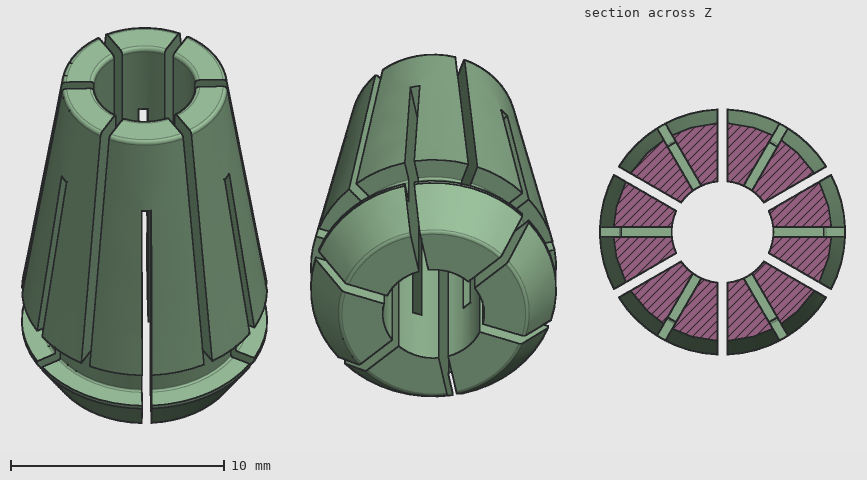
import cadquery as cq
import math

total_height = 18.0
outer_radius = 5.75
bore_radius = 4.76 / 2

taper_base_z = 4.5
taper_angle = 8.0

neck_radius = 4.75
flange_top_z = 2.5
flange_rim_height = 0.2
nose_angle = 30.0

top_outer_round = 0.2
top_bore_round = 0.2
neck_round = 0.1
nose_round = 0.2

slit_width = 0.45
slits_per_set = 6
top_slit_floor_z = 4.0
bottom_slit_end_z = 14.0

taper_length = total_height - taper_base_z
top_radius = outer_radius - taper_length * math.tan(math.radians(taper_angle))
rim_base_z = flange_top_z - flange_rim_height
nose_radius = outer_radius - rim_base_z * math.tan(math.radians(nose_angle))
slit_pitch = 360.0 / slits_per_set
first_top_slit_angle = 0.0
first_bottom_slit_angle = slit_pitch / 2


def round_circle(body, radius, z, rounding):
    """Round the circular edge of the given radius that lies at height z."""
    match_tolerance = 0.001
    for edge in body.edges("%CIRCLE").vals():
        same_radius = abs(edge.radius() - radius) < match_tolerance
        same_height = abs(edge.Center().z - z) < match_tolerance
        if same_radius and same_height:
            return body.newObject([edge]).fillet(rounding)
    raise ValueError("no circular edge of this radius at this height")


def revolved_body():
    """Collet body without slits: the half section turned about Z."""
    half_section = [
        (bore_radius, 0),
        (nose_radius, 0),
        (outer_radius, rim_base_z),
        (outer_radius, flange_top_z),
        (neck_radius, flange_top_z),
        (neck_radius, taper_base_z),
        (outer_radius, taper_base_z),
        (top_radius, total_height),
        (bore_radius, total_height),
    ]
    profile = cq.Workplane("XZ").polyline(half_section).close()
    return profile.revolve(360, (0, 0, 0), (0, 1, 0))


def round_edges(body):
    """Round the bore mouth, the top rim, both neck corners and the nose rim."""
    body = round_circle(body, bore_radius, total_height, top_bore_round)
    body = round_circle(body, top_radius, total_height, top_outer_round)
    body = round_circle(body, neck_radius, taper_base_z, neck_round)
    body = round_circle(body, neck_radius, flange_top_z, neck_round)
    body = round_circle(body, nose_radius, 0, nose_round)
    return body


def cut_slits(body, first_angle, bottom_z, top_z):
    """Cut radial slits between two heights, evenly spaced around Z."""
    slit_length = 2 * outer_radius
    slit_height = top_z - bottom_z
    slit = cq.Workplane("XY").box(slit_length, slit_width, slit_height, centered=(False, True, False))
    slit = slit.translate((0, 0, bottom_z))
    for index in range(slits_per_set):
        angle = first_angle + index * slit_pitch
        body = body.cut(slit.rotate((0, 0, 0), (0, 0, 1), angle))
    return body


collet = round_edges(revolved_body())
collet = cut_slits(collet, first_top_slit_angle, top_slit_floor_z, total_height)
collet = cut_slits(collet, first_bottom_slit_angle, 0, bottom_slit_end_z)

result = collet